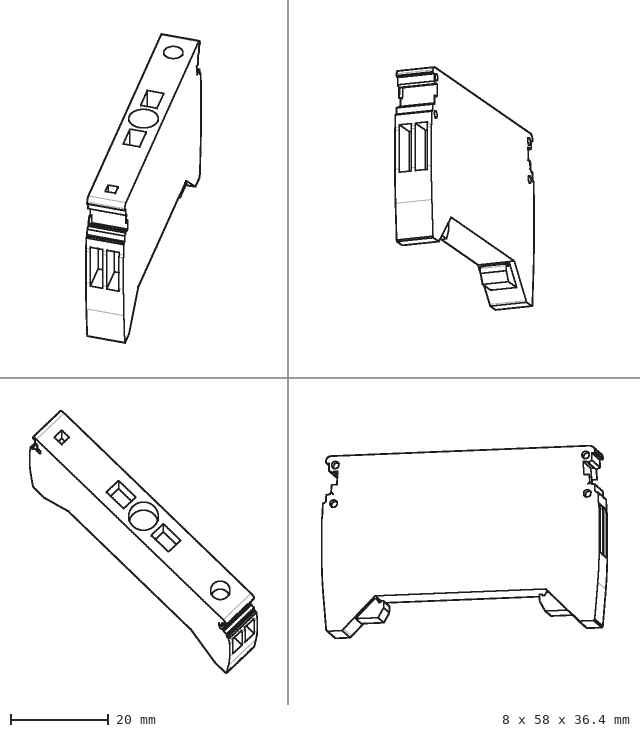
import cadquery as cq

THICKNESS = 8.0
LENGTH = 58.0
HEIGHT = 36.4
HALF_THICKNESS = THICKNESS / 2
HALF_LENGTH = LENGTH / 2

LIP_BOTTOM = 33.15
RECESS_FLOOR = 28.5
RECESS_WALL_TOP = 25.6
RECESS_WALL_BOTTOM = 26.0

FLANK_TOP = 26.6
FLANK_ARC_TOP = 15.1
FLANK_ARC_BOTTOM = 7.95
FLANK_ARC_BOTTOM_Y = 28.7
ROOF_HEIGHT = 6.95
ROOF_HALF_LENGTH = 17.8
FOOT_INNER_Y = 24.7

HOOK_INSET = 1.15
HOOK_BOTTOM = 2.6

TAB_TIP_THICKNESS = 0.1
UPPER_TAB_BASE = 0.45
UPPER_TAB_BOTTOM = 30.8
LOWER_TAB_BASE = 0.45
LOWER_TAB_TOP = 30.45
TAB_TOP_Y = 26.65
TAB_BOTTOM_Y = 27.1
TAB_EMBED = 0.3

SIDE_HOLE_RADIUS = 0.75
SIDE_HOLE_DEPTH = 1.75
SIDE_HOLES = [(26.15, 34.5), (26.5, 26.5)]

TOP_DEPTH = 5.8
CENTRE_HOLE_RADIUS = 3.0
END_HOLE_RADIUS = 2.0
END_HOLE_Y = 22.25
WINDOW_WIDTH = 3.5
WINDOW_LENGTH = 5.0
WINDOW_Y = 6.5
SQUARE_SIZE = 2.15
SQUARE_Y = -23.7

POCKET_WIDTH = 2.6
POCKET_GAP = 0.85
POCKET_BOTTOM = 14.3
POCKET_TOP = 24.4
POCKET_DEPTH = 5.8


def both_ends(solid):
    """Join a +Y feature with its mirror image at the -Y end."""
    return solid.union(solid.mirror("XZ"))


def extrude_across(profile, inset=0.0):
    """Extrude a YZ profile across the thickness, stopping short of both faces by the inset."""
    return profile.extrude(HALF_THICKNESS - inset, both=True)


def half_housing():
    """The +Y half of the housing, traced from the top middle down to the roof between the feet."""
    profile = (
        cq.Workplane("YZ")
        .moveTo(0, HEIGHT)
        .lineTo(27.1, HEIGHT)
        .threePointArc((27.7, 36.1), (28.05, 35.6))
        .lineTo(28.1, 35.15)
        .lineTo(27.95, 34.9)
        .lineTo(27.4, 34.9)
        .lineTo(27.5, 33.35)
        .lineTo(26.65, 32.95)
        .lineTo(26.3, LIP_BOTTOM)
        .lineTo(RECESS_WALL_TOP, LIP_BOTTOM)
        .lineTo(RECESS_WALL_BOTTOM, RECESS_FLOOR)
        .lineTo(26.7, RECESS_FLOOR)
        .lineTo(26.85, 28.8)
        .lineTo(27.1, 28.8)
        .lineTo(27.25, RECESS_FLOOR)
        .lineTo(28.05, 28.35)
        .lineTo(28.1, 26.95)
        .lineTo(28.35, 26.7)
        .lineTo(28.75, FLANK_TOP)
        .lineTo(28.9, 24.0)
        .lineTo(HALF_LENGTH, 23.3)
        .lineTo(HALF_LENGTH, FLANK_ARC_TOP)
        .tangentArcPoint((FLANK_ARC_BOTTOM_Y, FLANK_ARC_BOTTOM), relative=False)
        .lineTo(28.05, 0.3)
        .lineTo(27.85, 0)
        .lineTo(FOOT_INNER_Y, 0)
        .lineTo(24.4, 0.35)
        .lineTo(ROOF_HALF_LENGTH, ROOF_HEIGHT)
        .lineTo(0, ROOF_HEIGHT)
        .close()
    )
    return extrude_across(profile)


def rail_hook():
    """The hook that grips the mounting rail, rooted inside the foot."""
    profile = (
        cq.Workplane("YZ")
        .moveTo(22.6, HOOK_BOTTOM)
        .lineTo(17.45, HOOK_BOTTOM)
        .lineTo(16.3, 4.65)
        .lineTo(16.25, 5.75)
        .threePointArc((16.45, 6.15), (16.8, 6.0))
        .threePointArc((17.1, 5.8), (17.4, 6.0))
        .lineTo(17.8, 6.6)
        .lineTo(18.85, 6.6)
        .close()
    )
    return extrude_across(profile, HOOK_INSET)


def interlock_tab(side, base, bottom, top):
    """A tab flush with one face (side = +1 or -1), tapering from the recess wall outwards."""
    root_y = RECESS_WALL_TOP - TAB_EMBED
    outer_x = side * HALF_THICKNESS
    taper = (
        cq.Workplane("XY", origin=(0, 0, bottom))
        .polyline([
            (outer_x, root_y),
            (outer_x - side * base, root_y),
            (outer_x - side * base, RECESS_WALL_TOP),
            (outer_x - side * TAB_TIP_THICKNESS, TAB_BOTTOM_Y),
            (outer_x, TAB_BOTTOM_Y),
        ])
        .close()
        .extrude(top - bottom)
    )
    outline = (
        cq.Workplane("YZ")
        .polyline([
            (root_y, RECESS_FLOOR),
            (TAB_BOTTOM_Y, RECESS_FLOOR),
            (TAB_TOP_Y, LIP_BOTTOM),
            (root_y, LIP_BOTTOM),
        ])
        .close()
    )
    return taper.intersect(extrude_across(outline))


def side_holes():
    """Blind round holes near each end of the -X face."""
    holes = (
        cq.Workplane("YZ", origin=(-HALF_THICKNESS, 0, 0))
        .pushPoints(SIDE_HOLES)
        .circle(SIDE_HOLE_RADIUS)
        .extrude(SIDE_HOLE_DEPTH)
    )
    return both_ends(holes)


def top_openings():
    """Round and rectangular blind openings in the top face."""
    top = cq.Workplane("XY", origin=(0, 0, HEIGHT))
    centre_hole = top.circle(CENTRE_HOLE_RADIUS).extrude(-TOP_DEPTH)
    end_hole = top.center(0, END_HOLE_Y).circle(END_HOLE_RADIUS).extrude(-TOP_DEPTH)
    window = top.center(0, WINDOW_Y).rect(WINDOW_WIDTH, WINDOW_LENGTH).extrude(-TOP_DEPTH)
    square = top.center(0, SQUARE_Y).rect(SQUARE_SIZE, SQUARE_SIZE).extrude(-TOP_DEPTH)
    return centre_hole.union(end_hole).union(both_ends(window)).union(square)


def contact_pockets():
    """Two side-by-side pockets in each end face."""
    offset = (POCKET_WIDTH + POCKET_GAP) / 2
    pockets = (
        cq.Workplane("XY", origin=(0, HALF_LENGTH - POCKET_DEPTH / 2, POCKET_BOTTOM))
        .pushPoints([(-offset, 0), (offset, 0)])
        .rect(POCKET_WIDTH, POCKET_DEPTH)
        .extrude(POCKET_TOP - POCKET_BOTTOM)
    )
    return both_ends(pockets)


half_body = (
    half_housing()
    .union(rail_hook())
    .union(interlock_tab(1, UPPER_TAB_BASE, UPPER_TAB_BOTTOM, LIP_BOTTOM))
    .union(interlock_tab(-1, LOWER_TAB_BASE, RECESS_FLOOR, LOWER_TAB_TOP))
)

result = (
    both_ends(half_body)
    .cut(side_holes())
    .cut(top_openings())
    .cut(contact_pockets())
)